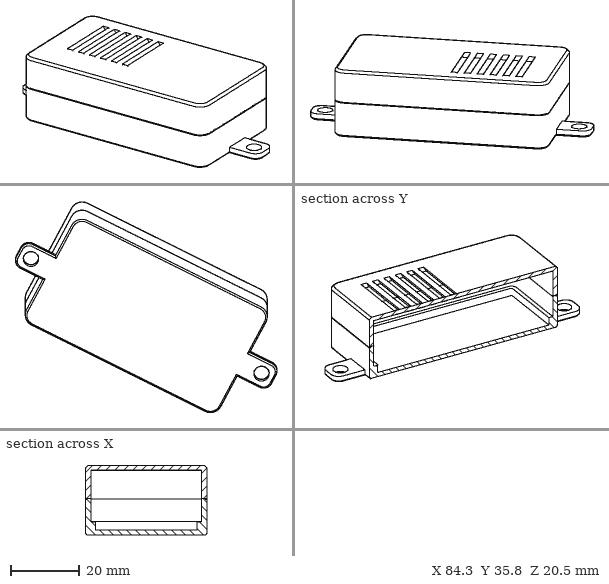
import cadquery as cq
import math

case_length = 64.3
case_width = 35.8
case_height = 20.5
corner_radius = 3.45
top_chamfer = 0.8
bottom_chamfer = 0.5
wall = 1.7
roof = 1.5
floor = 1.5

seam_height = 10.6
seam_gap = 0.2
gap_depth = 0.5

ledge_height = 4.0
ledge_width = 1.35

overall_length = 84.3
tab_width = 8.1
tab_thickness = 2.0
tab_radius = 2.6
tab_hole_diameter = 4.5
tab_hole_inset = 4.05
tab_hole_x = overall_length / 2 - tab_hole_inset

slot_count = 6
slot_width = 1.85
slot_length = 19.0
slot_pitch = 3.9
first_slot_x = -23.6
slot_center_y = 3.1
slot_tilt = 30.0
slot_depth = 2 * roof
slot_shift = slot_depth * math.tan(math.radians(slot_tilt))


def rounded_block(length, width, radius, bottom, top):
    """Block between two heights with rounded vertical edges."""
    return (
        cq.Workplane("XY")
        .workplane(offset=bottom)
        .rect(length, width)
        .extrude(top - bottom)
        .edges("|Z")
        .fillet(radius)
    )


def case_block(inset, bottom, top):
    """Block with the case outline moved inward by inset."""
    return rounded_block(
        case_length - 2 * inset, case_width - 2 * inset, corner_radius - inset, bottom, top
    )


def make_slot(left_x):
    """Slanted slot cutter whose top opening starts at left_x."""
    slot_bottom = case_height - slot_depth
    return (
        cq.Workplane("XZ", origin=(0, slot_center_y, 0))
        .moveTo(left_x, case_height)
        .lineTo(left_x + slot_width, case_height)
        .lineTo(left_x + slot_width + slot_shift, slot_bottom)
        .lineTo(left_x + slot_shift, slot_bottom)
        .close()
        .extrude(slot_length / 2, both=True)
    )


def make_shadow_gap():
    """Ring cutter that leaves a thin groove just below the seam."""
    gap_bottom = seam_height - seam_gap
    outer = case_block(0, gap_bottom, seam_height)
    return outer.cut(case_block(gap_depth, gap_bottom, seam_height))


def make_tab_holes():
    return (
        cq.Workplane("XY")
        .pushPoints([(-tab_hole_x, 0), (tab_hole_x, 0)])
        .circle(tab_hole_diameter / 2)
        .extrude(tab_thickness)
    )


def make_cover():
    cover = case_block(0, seam_height, case_height).faces(">Z").chamfer(top_chamfer)
    cover = cover.cut(case_block(wall, seam_height, case_height - roof))
    for index in range(slot_count):
        cover = cover.cut(make_slot(first_slot_x + index * slot_pitch))
    return cover


def make_base():
    tab_strip = rounded_block(overall_length, tab_width, tab_radius, 0, tab_thickness)
    base = case_block(0, 0, seam_height).union(tab_strip)
    base = base.faces("<Z").chamfer(bottom_chamfer)
    base = base.cut(make_shadow_gap())

    base = base.cut(case_block(wall, ledge_height, seam_height))
    base = base.cut(case_block(wall + ledge_width, floor, ledge_height))
    return base.cut(make_tab_holes())


cover = make_cover().solids()
base = make_base().solids()
result = cq.Compound.makeCompound([cover.val(), base.val()])